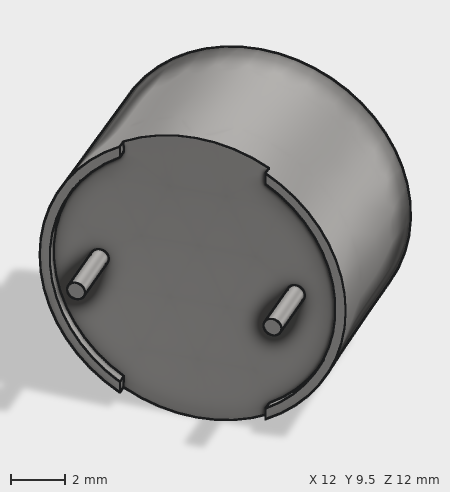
import cadquery as cq
import math

body_radius = 6.0
draft_angle = 0.6
body_length = 7.5
end_fillet = 0.2
rim_height = 0.4
rim_inner_radius = 5.6
floor_dish_depth = 0.3
notch_width = 5.7
pin_diameter = 0.7
pin_pitch = 7.7
pin_length = 2.0

closed_end_radius = body_radius - body_length * math.tan(math.radians(draft_angle))
dish_radius = (body_radius**2 + floor_dish_depth**2) / (2 * floor_dish_depth)
floor_centre_y = rim_height + floor_dish_depth
dish_centre_y = floor_centre_y - dish_radius
notch_span = 2 * body_radius + 1.0
pin_depth = floor_centre_y + pin_length


def axial_plane(x=0, y=0):
    """Plane across the Y axis, facing -Y, with its local X along Z."""
    return cq.Workplane(cq.Plane(origin=(x, y, 0), xDir=(0, 0, 1), normal=(0, -1, 0)))


def make_body():
    """Tapered round body with a rounded edge at its closed end."""
    body = (
        cq.Workplane("YZ")
        .polyline([
            (0, 0),
            (0, body_radius),
            (body_length, closed_end_radius),
            (body_length, 0),
        ])
        .close()
        .revolve(360, (0, 0, 0), (1, 0, 0))
    )
    return body.faces(">Y").edges().fillet(end_fillet)


def make_floor_cutter():
    """Space in front of the spherical floor: the recess joined with the rim notch."""
    recess = axial_plane().circle(rim_inner_radius).extrude(-floor_centre_y)
    notch = axial_plane().rect(notch_span, notch_width).extrude(-floor_centre_y)
    dish = cq.Workplane("XY").sphere(dish_radius).translate((0, dish_centre_y, 0))
    return recess.union(notch).intersect(dish)


def make_pin(x):
    """Round pin standing on the dished floor, sunk to the floor's deepest level."""
    return axial_plane(x, floor_centre_y).circle(pin_diameter / 2).extrude(pin_depth)


result = make_body().cut(make_floor_cutter())
for side in (-1, 1):
    result = result.union(make_pin(side * pin_pitch / 2))